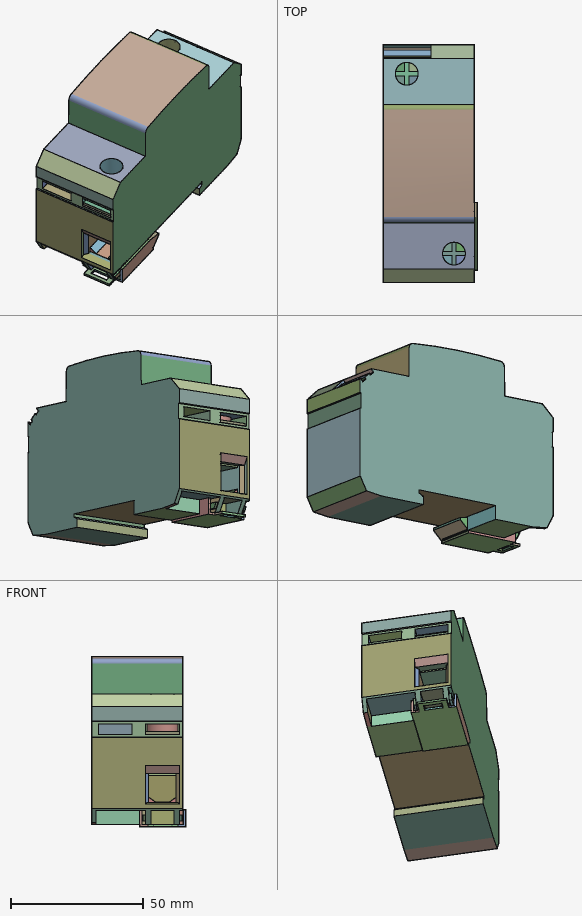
import cadquery as cq
import math

width = 34.45
half_length = 44.9
shoulder_z = 49.3
crown_z = 63.5
crown_half_length = 22.36
crown_top_half_length = 22.1
crown_edge_z = 62.48
crown_fillet = 2.0
chamfer_y = 39.7
chamfer_z = 44.5
slope_top_z = 6.15
slope_end_y = 41.98
bevel_z = 0.8
bevel_y = 34.95

band_top_z = 39.0
band_bottom_z = 33.0
band_depth = 0.4
band_ramp = 0.25

rail_top_z = 5.42
rail_front_y = -18.0
rail_rear_y = 17.5
rail_lip_y = 15.6
rail_lip_z = 3.25
rail_undercut_z = 4.2

front_terminal_x = 26.75
rear_terminal_x = 8.94
screw_y = 33.95
screw_hole_radius = 4.3
screw_top_z = 40.0
cross_slot_width = 1.55
cross_slot_depth = 1.0

window_width = 12.7
window_top_z = 37.9
window_bottom_z = 34.1
window_depth = 20.0
left_window_x = 8.95
screw_head_radius = 5.9
ledge_top_z = 35.2
ledge_setback = 0.75

entry_width = 12.9
entry_top_z = 22.3
entry_bottom_z = 7.85
entry_lead_depth = 1.5
entry_taper_end = 2.9
throat_end = 4.15
throat_width = 10.4
throat_top_z = 19.25
throat_bottom_z = 8.4
chamber_top_z = 18.6
chamber_bottom_z = 8.46
chamber_end = 14.0
chamber_chamfer_x = 2.65
chamber_chamfer_z = 1.9

hollow_wall = 1.7
hollow_top_z = 5.42
hollow_back_y = -bevel_y
left_rib = (20.4, 22.5)
right_rib = (31.1, 33.15)
bump_width = 1.0
bump_setback = 0.3
bump_bottom_z = 1.3
bump_top_z = 3.55

groove_length_x = 18.0
groove_start = 0.15
groove_end = 6.85
groove_depth = 1.6
groove_land_start = 2.0
groove_land_end = 5.05
groove_land_depth = 0.8

clip_left_x = 18.1
clip_right_x = 35.6
clip_wall = 0.95
clip_top_z = 5.65
clip_thickness = 64.38 - crown_z
clip_front_y = -40.25
clip_base_rear_y = -18.5
hook_tip_y = -14.6
hook_tip_top_z = 4.5
hook_tip_bottom_z = 3.65
hook_root_y = -20.4
loop_left_x = 21.2
loop_right_x = 32.6
loop_front_y = -44.6
loop_side = 2.2
loop_front_bar = 1.55
loop_hole_back_y = -40.6


def box(x_range, y_range, z_range):
    """Axis-aligned block given its extents."""
    sizes = [high - low for low, high in (x_range, y_range, z_range)]
    corner = (x_range[0], y_range[0], z_range[0])
    return cq.Workplane("XY").box(*sizes, centered=False).translate(corner)


def side_prism(points, x_start, x_end):
    """Extrude a closed (y, z) outline along X."""
    return cq.Workplane("YZ", origin=(x_start, 0, 0)).polyline(points).close().extrude(x_end - x_start)


def make_housing():
    """Side outline extruded across the width, with the crown's top edges rounded."""
    band_y = half_length - band_depth
    half_ramp = band_ramp / 2
    rear_end = [
        (half_length, slope_top_z),
        (half_length, band_bottom_z - half_ramp),
        (band_y, band_bottom_z + half_ramp),
        (band_y, band_top_z - half_ramp),
        (half_length, band_top_z + half_ramp),
        (half_length, chamfer_z),
        (chamfer_y, shoulder_z),
        (crown_half_length, shoulder_z),
        (crown_top_half_length, crown_edge_z),
    ]
    outline = cq.Workplane("YZ").moveTo(-bevel_y, 0).lineTo(rail_front_y, 0)
    outline = outline.lineTo(rail_front_y, rail_top_z).lineTo(rail_rear_y, rail_top_z)
    outline = outline.lineTo(rail_rear_y, rail_undercut_z).lineTo(rail_lip_y, rail_lip_z)
    outline = outline.lineTo(rail_lip_y, 0).lineTo(bevel_y, 0).lineTo(slope_end_y, bevel_z)
    for y, z in rear_end:
        outline = outline.lineTo(y, z)
    outline = outline.threePointArc((0, crown_z), (-crown_top_half_length, crown_edge_z))
    for y, z in reversed(rear_end[:-1]):
        outline = outline.lineTo(-y, z)
    housing = outline.lineTo(-slope_end_y, bevel_z).close().extrude(width)

    for side in (-1, 1):
        edge_point = (width / 2, side * crown_top_half_length, crown_edge_z)
        housing = housing.edges(cq.selectors.NearestToPointSelector(edge_point)).fillet(crown_fillet)
    return housing


def screw_recess(x, y):
    """Round shaft down to a terminal screw, with the screw's cross slot at its foot."""
    shaft = cq.Workplane("XY", origin=(x, y, screw_top_z)).circle(screw_hole_radius)
    shaft = shaft.extrude(shoulder_z - screw_top_z)
    slot_plane = cq.Workplane("XY", origin=(x, y, screw_top_z - cross_slot_depth))
    slot_length = 2 * screw_hole_radius
    cross = slot_plane.rect(slot_length, cross_slot_width).extrude(cross_slot_depth)
    cross = cross.union(slot_plane.rect(cross_slot_width, slot_length).extrude(cross_slot_depth))
    round_limit = slot_plane.circle(screw_hole_radius).extrude(cross_slot_depth)
    return shaft.union(cross.intersect(round_limit))


def left_window():
    """Plain rectangular pocket in the front band."""
    x_range = (left_window_x - window_width / 2, left_window_x + window_width / 2)
    y_range = (-half_length, -half_length + window_depth)
    return box(x_range, y_range, (window_bottom_z, window_top_z))


def right_window():
    """Pocket in the front band that leaves a low ledge and the terminal screw's round head."""
    x_range = (front_terminal_x - window_width / 2, front_terminal_x + window_width / 2)
    band_face_y = -half_length + band_depth
    upper = box(x_range, (-half_length, -half_length + window_depth), (ledge_top_z, window_top_z))
    lower = box(x_range, (-half_length, band_face_y + ledge_setback), (window_bottom_z, ledge_top_z))
    head = cq.Workplane("XY", origin=(front_terminal_x, -screw_y, ledge_top_z))
    head = head.circle(screw_head_radius).extrude(window_top_z - ledge_top_z)
    return upper.cut(head).union(lower)


def wire_entry():
    """Funnel with a sloping roof and tapering sides, a short throat and a chamber behind it."""
    face_y = -half_length
    lead_y = face_y + entry_lead_depth
    taper_y = face_y + entry_taper_end
    throat_y = face_y + throat_end
    left_x = front_terminal_x - entry_width / 2
    right_x = front_terminal_x + entry_width / 2
    throat_left_x = front_terminal_x - throat_width / 2
    throat_right_x = front_terminal_x + throat_width / 2

    side_outline = [
        (face_y, entry_bottom_z),
        (taper_y, throat_bottom_z),
        (throat_y, throat_bottom_z),
        (throat_y, throat_top_z),
        (lead_y, throat_top_z),
        (face_y, entry_top_z),
    ]
    plan_outline = [
        (left_x, face_y),
        (left_x, lead_y),
        (throat_left_x, taper_y),
        (throat_left_x, throat_y),
        (throat_right_x, throat_y),
        (throat_right_x, taper_y),
        (right_x, lead_y),
        (right_x, face_y),
    ]
    plan_prism = cq.Workplane("XY").polyline(plan_outline).close().extrude(entry_top_z)
    funnel = side_prism(side_outline, left_x, right_x).intersect(plan_prism)

    chamber_outline = [
        (throat_left_x, chamber_top_z),
        (throat_right_x, chamber_top_z),
        (throat_right_x, chamber_bottom_z + chamber_chamfer_z),
        (throat_right_x - chamber_chamfer_x, chamber_bottom_z),
        (throat_left_x + chamber_chamfer_x, chamber_bottom_z),
        (throat_left_x, chamber_bottom_z + chamber_chamfer_z),
    ]
    chamber = cq.Workplane("XZ", origin=(0, throat_y, 0)).polyline(chamber_outline).close()
    return funnel.union(chamber.extrude(throat_end - chamber_end))


def label_groove():
    """Groove along the rear chamfer with a raised land between two deeper channels."""
    chamfer_run = half_length - chamfer_y
    chamfer_drop = shoulder_z - chamfer_z
    chamfer_length = math.hypot(chamfer_run, chamfer_drop)
    along = (chamfer_run / chamfer_length, -chamfer_drop / chamfer_length)
    inward = (along[1], -along[0])

    def on_chamfer(distance, depth):
        y = chamfer_y + distance * along[0] + depth * inward[0]
        z = shoulder_z + distance * along[1] + depth * inward[1]
        return (y, z)

    outline = [
        on_chamfer(groove_start, 0),
        on_chamfer(groove_start, groove_depth),
        on_chamfer(groove_land_start, groove_depth),
        on_chamfer(groove_land_start, groove_land_depth),
        on_chamfer(groove_land_end, groove_land_depth),
        on_chamfer(groove_land_end, groove_depth),
        on_chamfer(groove_end, groove_depth),
        on_chamfer(groove_end, 0),
    ]
    return side_prism(outline, 0, groove_length_x)


def front_hollow():
    """Space under the front sloped corner, closed by the left wall and open on the right."""
    return box((hollow_wall, width), (-half_length, hollow_back_y), (0, hollow_top_z))


def corner_ribs():
    """Two ribs in the hollow, each with a set back outer bump, following the corner slope."""
    slope_run = (half_length - slope_end_y) / (slope_top_z - bevel_z)

    def slope_y(z):
        return -half_length + (slope_top_z - z) * slope_run

    def rib(x_start, x_end, bottom_z, top_z, setback=0):
        outline = [
            (hollow_back_y, bottom_z),
            (slope_y(bottom_z) + setback, bottom_z),
            (slope_y(top_z) + setback, top_z),
            (hollow_back_y, top_z),
        ]
        return side_prism(outline, x_start, x_end)

    ribs = rib(*left_rib, 0, hollow_top_z).union(rib(*right_rib, 0, hollow_top_z))
    for bump_x in (left_rib[0] - bump_width, right_rib[1]):
        ribs = ribs.union(rib(bump_x, bump_x + bump_width, bump_bottom_z, bump_top_z, bump_setback))
    return ribs


def rail_clip():
    """Base plate with two side walls, a rail hook at the rear and a pull loop at the front."""
    base_z = (-clip_thickness, 0)
    wall_y = (clip_front_y, hook_root_y)
    clip = box((clip_left_x, clip_right_x), (clip_front_y, clip_base_rear_y), base_z)
    for wall_x in (clip_left_x, clip_right_x - clip_wall):
        clip = clip.union(box((wall_x, wall_x + clip_wall), wall_y, (-clip_thickness, clip_top_z)))

    hook = [
        (hook_root_y, 0),
        (clip_base_rear_y, 0),
        (hook_tip_y, hook_tip_bottom_z),
        (hook_tip_y, hook_tip_top_z),
        (hook_root_y, clip_top_z),
    ]
    clip = clip.union(side_prism(hook, clip_left_x, clip_right_x))

    loop = box((loop_left_x, loop_right_x), (loop_front_y, clip_front_y), base_z)
    loop_hole = box(
        (loop_left_x + loop_side, loop_right_x - loop_side),
        (loop_front_y + loop_front_bar, loop_hole_back_y),
        base_z,
    )
    return clip.union(loop.cut(loop_hole))


housing = make_housing()
housing = housing.cut(screw_recess(front_terminal_x, -screw_y))
housing = housing.cut(screw_recess(rear_terminal_x, screw_y))
housing = housing.cut(left_window()).cut(right_window())
housing = housing.cut(wire_entry())
housing = housing.cut(label_groove())
housing = housing.cut(front_hollow()).union(corner_ribs())

result = housing.union(rail_clip())